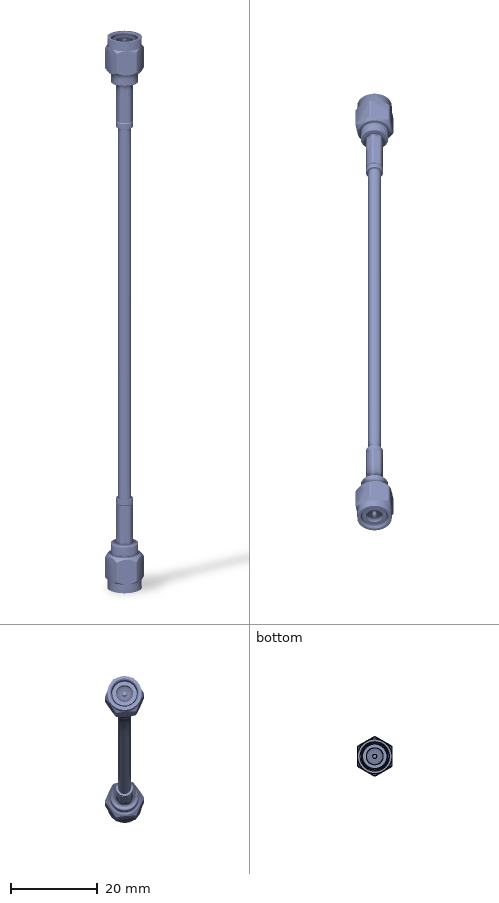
import cadquery as cq
import math

TOTAL_LENGTH = 135.0
HALF_LENGTH = TOTAL_LENGTH / 2

RIM_DIAMETER = 8.0
RIM_DEPTH = 2.2
NUT_ACROSS_FLATS = RIM_DIAMETER
NUT_CORNER_DIAMETER = 9.0
NUT_END_DEPTH = 8.5
NUT_FRONT_TAPER = 0.5
NUT_REAR_TAPER = 1.0
NUT_REAR_DIAMETER = 7.4

COLLAR_DIAMETER = 6.3
COLLAR_CHAMFER = 0.1
HEAD_LENGTH = 11.1

SOCKET_DIAMETER = 6.2
SOCKET_DEPTH = 4.0
MOUTH_DIAMETER = 6.8
MOUTH_CHAMFER = (MOUTH_DIAMETER - SOCKET_DIAMETER) / 2
CORE_DIAMETER = 5.7
CORE_RECESS = 0.7
CORE_BORE_DIAMETER = 3.9
CORE_BORE_DEPTH = 2.0
PIN_DIAMETER = 1.0

FERRULE_DIAMETER = 3.9
CRIMP_ACROSS_FLATS = 3.6
CRIMP_END_DEPTH = 20.5
RING_CHAMFER = 0.3
FERRULE_END_DEPTH = 22.0

CABLE_DIAMETER = 3.0


def at_depth(depth):
    """Horizontal workplane at a depth below the mating face of the upper plug."""
    return cq.Workplane("XY", origin=(0, 0, HALF_LENGTH - depth))


def cylinder(diameter, start_depth, end_depth):
    return at_depth(end_depth).circle(diameter / 2).extrude(end_depth - start_depth)


def hexagon(across_flats, start_depth, end_depth):
    """Hexagonal prism with flats facing +X and -X."""
    across_corners = across_flats / math.cos(math.radians(30))
    prism = at_depth(end_depth).polygon(6, across_corners).extrude(end_depth - start_depth)
    return prism.rotate((0, 0, 0), (0, 0, 1), 30)


def revolved(half_outline):
    """Solid of revolution about Z, from (radius, Z) points."""
    return cq.Workplane("XZ").polyline(half_outline).close().revolve(360, (0, 0), (0, 1))


def make_nut():
    """Hexagon turned down at its corners and tapered at both ends."""
    front = HALF_LENGTH - RIM_DEPTH
    rear = HALF_LENGTH - NUT_END_DEPTH
    turned_outline = [
        (0, front),
        (RIM_DIAMETER / 2, front),
        (NUT_CORNER_DIAMETER / 2, front - NUT_FRONT_TAPER),
        (NUT_CORNER_DIAMETER / 2, rear + NUT_REAR_TAPER),
        (NUT_REAR_DIAMETER / 2, rear),
        (0, rear),
    ]
    turned_blank = revolved(turned_outline)
    return hexagon(NUT_ACROSS_FLATS, RIM_DEPTH, NUT_END_DEPTH).intersect(turned_blank)


def make_collar():
    collar = cylinder(COLLAR_DIAMETER, NUT_END_DEPTH, HEAD_LENGTH)
    return collar.edges("%CIRCLE").chamfer(COLLAR_CHAMFER)


def make_socket():
    """Space inside the rim, widened by a chamfer at its mouth."""
    mating_face = HALF_LENGTH
    floor = HALF_LENGTH - SOCKET_DEPTH
    outline = [
        (0, mating_face),
        (MOUTH_DIAMETER / 2, mating_face),
        (SOCKET_DIAMETER / 2, mating_face - MOUTH_CHAMFER),
        (SOCKET_DIAMETER / 2, floor),
        (0, floor),
    ]
    return revolved(outline)


def make_core():
    """Hollow post with the contact pin in its middle, flush with its end."""
    post = cylinder(CORE_DIAMETER, CORE_RECESS, SOCKET_DEPTH)
    bore = cylinder(CORE_BORE_DIAMETER, CORE_RECESS, CORE_BORE_DEPTH)
    pin = cylinder(PIN_DIAMETER, CORE_RECESS, CORE_BORE_DEPTH)
    return post.cut(bore).union(pin)


def make_head():
    """Plug head: rim, nut and collar in one piece, with the core inside the socket."""
    rim = cylinder(RIM_DIAMETER, 0, RIM_DEPTH)
    shell = rim.union(make_nut()).union(make_collar()).cut(make_socket())
    return shell.union(make_core())


def make_ferrule():
    """Crimp sleeve and its end ring, bored for the cable."""
    sleeve = cylinder(FERRULE_DIAMETER, HEAD_LENGTH, CRIMP_END_DEPTH)
    sleeve = sleeve.intersect(hexagon(CRIMP_ACROSS_FLATS, HEAD_LENGTH, CRIMP_END_DEPTH))
    ring = cylinder(FERRULE_DIAMETER, CRIMP_END_DEPTH, FERRULE_END_DEPTH)
    ring = ring.faces(">Z").chamfer(RING_CHAMFER)
    bore = cylinder(CABLE_DIAMETER, HEAD_LENGTH, FERRULE_END_DEPTH)
    return sleeve.union(ring).cut(bore)


def make_cable():
    return cylinder(CABLE_DIAMETER, HEAD_LENGTH, TOTAL_LENGTH - HEAD_LENGTH)


cable = make_cable()
heads = []
ferrules = []
for turn in (0, 180):
    heads.append(make_head().rotate((0, 0, 0), (1, 0, 0), turn).val())
    ferrules.append(make_ferrule().rotate((0, 0, 0), (1, 0, 0), turn).val())

result = cq.Compound.makeCompound([cable.val(), *heads, *ferrules])